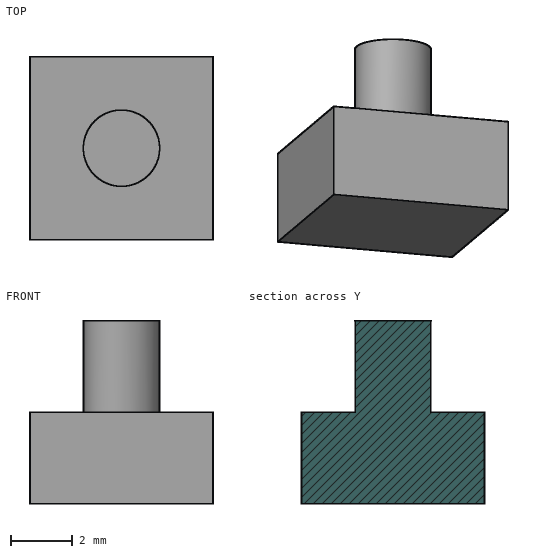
import cadquery as cq

base_side = 6.0
base_height = 3.0
pin_diameter = 2.5
pin_height = 3.0


def make_base():
    """Square block centred on the Z axis, resting on Z = 0."""
    return cq.Workplane("XY").box(base_side, base_side, base_height, centered=(True, True, False))


def add_pin(body):
    """Round pin standing on the centre of the block's top face."""
    return body.faces(">Z").workplane().circle(pin_diameter / 2).extrude(pin_height)


result = add_pin(make_base())